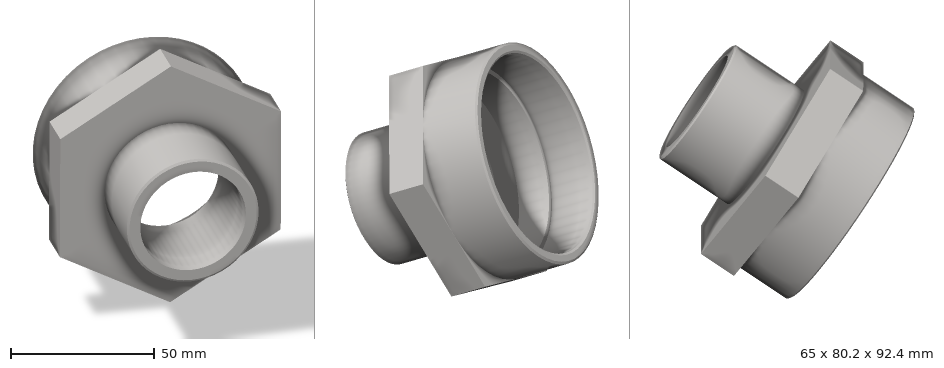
import cadquery as cq
import math

socket_length = 22.1
hex_length = 13.95
spigot_length = 29.0

hex_sides = 6
hex_across_corners = 92.4
hex_turn = -0.2

socket_diameter = 79.9
spigot_diameter = 47.8
edge_length = 0.6
edge_depth = 0.8

mouth_diameter = 73.7
socket_bore_diameter = 72.2
mouth_chamfer_length = 0.6
socket_bore_depth = 17.5
recess_diameter = 68.6
recess_depth = 29.9
through_diameter = 38.2

hex_start = socket_length
hex_end = hex_start + hex_length
total_length = hex_end + spigot_length


def turned_body():
    """Outer cylinders and stepped bore, revolved about the X axis."""
    socket_radius = socket_diameter / 2
    spigot_radius = spigot_diameter / 2
    through_radius = through_diameter / 2
    profile = [
        (0, mouth_diameter / 2),
        (0, socket_radius - edge_depth),
        (edge_length, socket_radius),
        (hex_end, socket_radius),
        (hex_end, spigot_radius),
        (total_length - edge_length, spigot_radius),
        (total_length, spigot_radius - edge_depth),
        (total_length, through_radius),
        (recess_depth, through_radius),
        (recess_depth, recess_diameter / 2),
        (socket_bore_depth, recess_diameter / 2),
        (socket_bore_depth, socket_bore_diameter / 2),
        (mouth_chamfer_length, socket_bore_diameter / 2),
    ]
    return cq.Workplane("XY").polyline(profile).close().revolve(360, (0, 0, 0), (1, 0, 0))


def hex_collar():
    """Wrench hexagon, hollow where the body passes through it."""
    corner_radius = hex_across_corners / 2
    wall_middle_diameter = (recess_diameter + socket_diameter) / 2
    corners = []
    for index in range(hex_sides):
        angle = math.radians(90 + 360 / hex_sides * index + hex_turn)
        corners.append((corner_radius * math.cos(angle), corner_radius * math.sin(angle)))
    return (
        cq.Workplane("YZ", origin=(hex_start, 0, 0))
        .polyline(corners)
        .close()
        .circle(wall_middle_diameter / 2)
        .extrude(hex_length)
    )


result = turned_body().union(hex_collar())